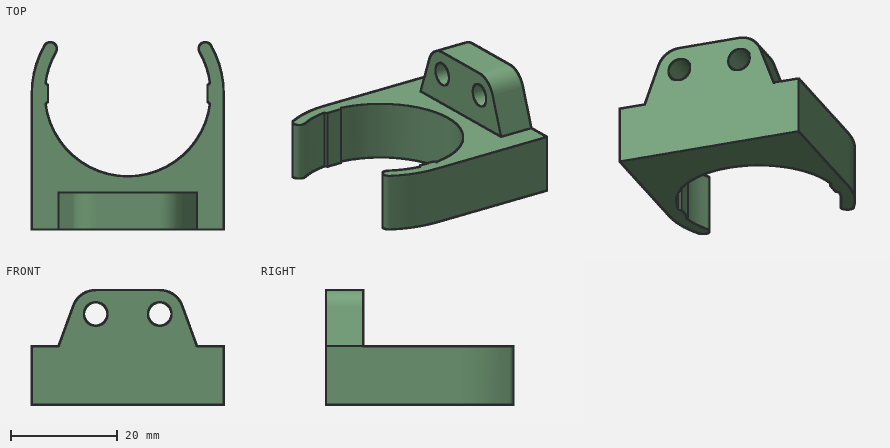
import cadquery as cq
import math

body_width = 36.0
body_height = 11.0
bore_radius = 15.5
bore_center_y = 25.5
outer_radius = body_width / 2
arm_angle = 30.0

pad_half_gap = 14.9
pad_half_length = 1.55
pad_foot_half_length = 1.95

ear_thickness = 7.0
hole_diameter = 4.35
hole_half_spacing = 6.0
hole_z = 17.0
ear_corner_radius = 4.5
ear_draft = 20.0


def polar(radius, degrees):
    """Point at a radius and angle from the bore axis."""
    angle = math.radians(degrees)
    return radius * math.cos(angle), bore_center_y + radius * math.sin(angle)


def mirrored(point):
    """Same point on the -X side."""
    return -point[0], point[1]


def make_body():
    """Block with the bore opening toward +Y between two round-tipped arms."""
    tip_radius = (outer_radius - bore_radius) / 2
    arm_mid_radius = bore_radius + tip_radius
    tip_center = polar(arm_mid_radius, arm_angle)
    tip_direction = math.radians(arm_angle + 90)
    tip_end = (
        tip_center[0] + tip_radius * math.cos(tip_direction),
        tip_center[1] + tip_radius * math.sin(tip_direction),
    )
    arm_outer_middle = polar(outer_radius, arm_angle / 2)
    arm_outer_end = polar(outer_radius, arm_angle)
    arm_inner_end = polar(bore_radius, arm_angle)
    bore_bottom = polar(bore_radius, -90)

    return (
        cq.Workplane("XY")
        .moveTo(-outer_radius, 0)
        .lineTo(outer_radius, 0)
        .lineTo(outer_radius, bore_center_y)
        .threePointArc(arm_outer_middle, arm_outer_end)
        .threePointArc(tip_end, arm_inner_end)
        .threePointArc(bore_bottom, mirrored(arm_inner_end))
        .threePointArc(mirrored(tip_end), mirrored(arm_outer_end))
        .threePointArc(mirrored(arm_outer_middle), (-outer_radius, bore_center_y))
        .close()
        .extrude(body_height)
    )


def make_pad(side):
    """Flat pad with beveled ends on one side of the bore (side is +1 or -1)."""
    foot_x = math.sqrt(bore_radius**2 - pad_foot_half_length**2)
    root_x = (bore_radius + outer_radius) / 2
    half_profile = [
        (root_x, pad_foot_half_length),
        (foot_x, pad_foot_half_length),
        (pad_half_gap, pad_half_length),
    ]
    profile = half_profile + [(x, -y) for x, y in reversed(half_profile)]
    points = [(side * x, bore_center_y + y) for x, y in profile]
    return cq.Workplane("XY").polyline(points).close().extrude(body_height)


def make_ear():
    """Tapered plate with rounded top corners and two through holes."""
    draft = math.radians(ear_draft)
    middle = math.radians((ear_draft + 90) / 2)
    top_z = hole_z + ear_corner_radius
    corner_start = (
        hole_half_spacing + ear_corner_radius * math.cos(draft),
        hole_z + ear_corner_radius * math.sin(draft),
    )
    corner_middle = (
        hole_half_spacing + ear_corner_radius * math.cos(middle),
        hole_z + ear_corner_radius * math.sin(middle),
    )
    corner_end = (hole_half_spacing, top_z)
    foot_x = corner_start[0] + (corner_start[1] - body_height) * math.tan(draft)
    hole_centers = [(-hole_half_spacing, hole_z), (hole_half_spacing, hole_z)]

    plate = (
        cq.Workplane("XZ")
        .moveTo(-foot_x, body_height)
        .lineTo(foot_x, body_height)
        .lineTo(*corner_start)
        .threePointArc(corner_middle, corner_end)
        .lineTo(*mirrored(corner_end))
        .threePointArc(mirrored(corner_middle), mirrored(corner_start))
        .close()
        .extrude(-ear_thickness)
    )
    holes = (
        cq.Workplane("XZ")
        .pushPoints(hole_centers)
        .circle(hole_diameter / 2)
        .extrude(-ear_thickness)
    )
    return plate.cut(holes)


result = make_body()
for pad_side in (-1, 1):
    result = result.union(make_pad(pad_side))
result = result.union(make_ear()).clean()